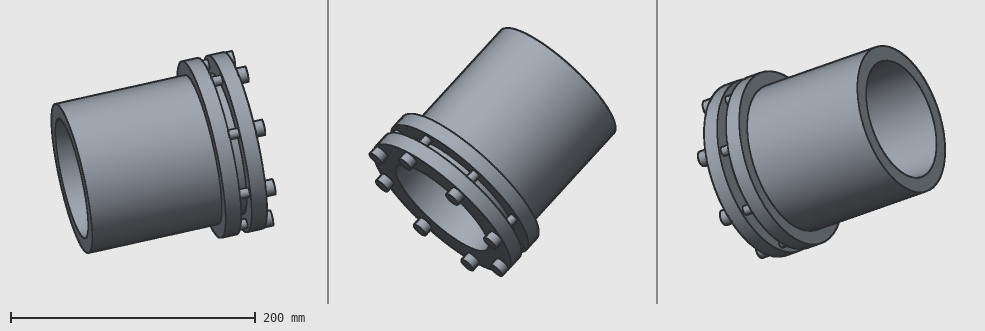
import cadquery as cq

total_length = 153.0
head_height = 8.0
flange_thickness = 13.2
gap_width = 8.9

bore_diameter = 100.0
pipe_diameter = 125.0
flange_diameter = 148.0
seal_ring_diameter = 118.0

screw_count = 8
screw_circle_radius = 67.2
first_screw_angle = 15.0
shank_diameter = 8.0
head_diameter = 13.0

head_end = total_length
rear_flange_end = head_end - head_height
rear_flange_start = rear_flange_end - flange_thickness
front_flange_end = rear_flange_start - gap_width
front_flange_start = front_flange_end - flange_thickness


def cylinder(diameter, start, end, x=0.0, z=0.0):
    """Cylinder parallel to Y, reaching from start to end."""
    base = cq.Workplane("XZ", origin=(x, start, z))
    return base.circle(diameter / 2).extrude(start - end)


def cap_screw(x, z):
    """Shank through both flanges with a plain round head on the rear one."""
    shank = cylinder(shank_diameter, front_flange_start, rear_flange_end, x, z)
    head = cylinder(head_diameter, rear_flange_end, head_end, x, z)
    return shank.union(head)


pipe = cylinder(pipe_diameter, 0.0, front_flange_end)
front_flange = cylinder(flange_diameter, front_flange_start, front_flange_end)
seal_ring = cylinder(seal_ring_diameter, front_flange_end, rear_flange_start)
rear_flange = cylinder(flange_diameter, rear_flange_start, rear_flange_end)
bore = cylinder(bore_diameter, 0.0, rear_flange_end)
result = pipe.union(front_flange).union(seal_ring).union(rear_flange).cut(bore)

screw_centers = (
    cq.Workplane("XY")
    .polarArray(screw_circle_radius, first_screw_angle, 360, screw_count)
    .vals()
)
for location in screw_centers:
    (x, z, _), _ = location.toTuple()
    result = result.union(cap_screw(x, z))